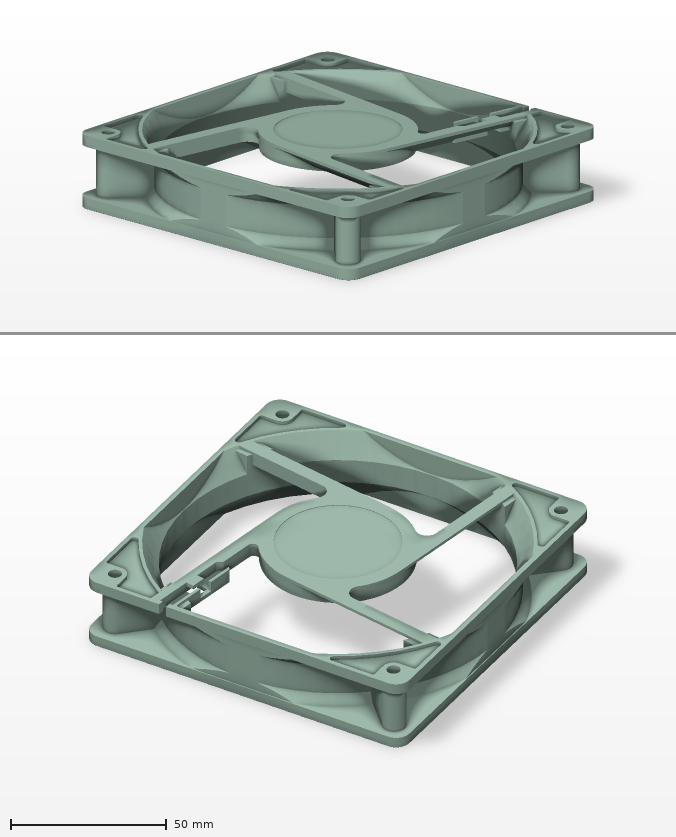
import cadquery as cq
import math

side = 119.3
height = 24.8
corner_radius = 5.0
flange_thickness = 3.8
edge_break = 0.1
flange_underside = height - flange_thickness

bore_radius = 57.6
mouth_radius = 63.0
mouth_depth = 8.1
mouth_half_width = 57.7
duct_radius = 59.5
duct_flare_radius = 62.3
duct_flare_height = 3.2
duct_half_width = 59.3

screw_offset = 52.3
screw_diameter = 4.5
post_radius = 3.9
outset_post = 1
post_outset = 1.0

recess_depth = 1.4
recess_half_width = 58.1
recess_inner_radius = 64.2
recess_tip_radius = 1.3
recess_corner_radius = 0.6

hub_radius = 25.8
hub_depth = 6.2
label_radius = 20.8
label_depth = 0.2
arm_direction = 81.0
arm_width = 4.8
arm_depth = 5.0
rim_thickness = 1.1
hub_wall_radius = 25.4
arm_outer = -hub_radius
arm_inner = arm_outer + arm_width
arm_fillet = 3.8
cable_arm_fillet = 1.8

gusset_width = 1.8
gusset_drop = 1.0

channel_wall_outer = -16.8
channel_wall_thickness = 1.1
channel_wall_inner = channel_wall_outer - channel_wall_thickness
channel_arm_edge = -22.7
channel_depth = 3.6
channel_start = 30.1
arm_step_start = 32.2
clip_start = 43.4
clip_end = 48.8
clip_tip = -19.8
clip_thickness = 1.4
window_edge = -18.5
exit_rib_width = 1.1
exit_rib_length = 1.9

reach = side
quarters = 4
quarter_turn = 90


def slab(outline, z_low, z_high):
    """Prism with a closed polygonal outline."""
    return cq.Workplane("XY").workplane(offset=z_low).polyline(outline).close().extrude(z_high - z_low)


def block(x_range, y_range, z_low, z_high):
    """Axis-aligned box given by its ranges."""
    (x0, x1), (y0, y1) = x_range, y_range
    return slab([(x0, y0), (x1, y0), (x1, y1), (x0, y1)], z_low, z_high)


def disc(radius, z_low, z_high):
    return cq.Workplane("XY").workplane(offset=z_low).circle(radius).extrude(z_high - z_low)


def square(half_width, z_low, z_high):
    span = (-half_width, half_width)
    return block(span, span, z_low, z_high)


def turned(profile):
    """Solid of revolution about Z from (radius, z) points."""
    return cq.Workplane("XZ").polyline(profile).close().revolve(360, (0, 0), (0, 1))


def placed(arm_part, index):
    """Turn a part drawn with its arm along +X to the place of the given arm."""
    return arm_part.rotate((0, 0, 0), (0, 0, 1), arm_direction + quarter_turn * index)


def make_flange(z_low):
    flange = cq.Workplane("XY").workplane(offset=z_low).rect(side, side).extrude(flange_thickness)
    return flange.edges("|Z").fillet(corner_radius)


def make_bottom_flange():
    """Flange with its lowest outer edge broken by a fine chamfer."""
    return make_flange(0).faces("<Z").edges().chamfer(edge_break)


def make_duct_outside():
    duct = turned([
        (0, flange_thickness),
        (duct_flare_radius, flange_thickness),
        (duct_radius, flange_thickness + duct_flare_height),
        (duct_radius, flange_underside - duct_flare_height),
        (duct_flare_radius, flange_underside),
        (0, flange_underside),
    ])
    return duct.intersect(square(duct_half_width, 0, height))


def make_air_passage():
    flared = turned([
        (0, 0),
        (mouth_radius, 0),
        (bore_radius, mouth_depth),
        (bore_radius, height - mouth_depth),
        (mouth_radius, height),
        (0, height),
    ])
    return flared.intersect(square(mouth_half_width, 0, height))


def make_post(index):
    """Corner post with a web of the same width running in to the duct."""
    distance = screw_offset * math.sqrt(2)
    if index == outset_post:
        distance += post_outset
    post = disc(post_radius, flange_thickness, flange_underside).translate((distance, 0, 0))
    web = block((0, distance), (-post_radius, post_radius), flange_thickness, flange_underside)
    return post.union(web).rotate((0, 0, 0), (0, 0, 1), quarter_turn / 2 + quarter_turn * index)


def make_recess(index):
    """Corner recess that passes round the screw boss."""
    floor = height - recess_depth
    recess = block((0, recess_half_width), (0, recess_half_width), floor, height)
    recess = recess.cut(disc(recess_inner_radius, floor, height))
    recess = recess.edges("|Z and (<X or <Y)").fillet(recess_tip_radius)
    boss_start = screw_offset - post_radius
    boss = block((boss_start, side), (boss_start, side), floor, height)
    boss = boss.edges("|Z and <X and <Y").fillet(post_radius)
    recess = recess.cut(boss)
    recess = recess.edges("|Z and (>X or >Y)").fillet(recess_corner_radius)
    return recess.rotate((0, 0, 0), (0, 0, 1), quarter_turn * index)


def make_star(center_radius, z_low, z_high):
    """Disc with four straight arms, filleted where the inner edge of each arm leaves the disc."""
    star = disc(center_radius, z_low, z_high)
    for index in range(quarters):
        star = star.union(placed(block((0, reach), (arm_outer, arm_inner), z_low, z_high), index))
    junction_distance = math.sqrt(center_radius**2 - arm_inner**2)
    for index in range(quarters):
        turn = math.radians(arm_direction + quarter_turn * index)
        corner = (
            junction_distance * math.cos(turn) - arm_inner * math.sin(turn),
            junction_distance * math.sin(turn) + arm_inner * math.cos(turn),
            (z_low + z_high) / 2,
        )
        radius = cable_arm_fillet if index == 0 else arm_fillet
        star = star.edges("|Z").edges(cq.NearestToPointSelector(corner)).fillet(radius)
    return star


def make_arms_and_hub():
    """Thin rim on top; below it each arm slopes from its outer edge down to its inner edge."""
    bottom = height - arm_depth
    rim_bottom = height - rim_thickness
    lower = make_star(hub_wall_radius, bottom, rim_bottom)
    slope = cq.Workplane("YZ").polyline([
        (arm_outer, rim_bottom),
        (arm_outer, bottom),
        (arm_inner, bottom),
    ]).close().extrude(reach)
    for index in range(quarters):
        lower = lower.cut(placed(slope, index))
    hub = disc(hub_wall_radius, height - hub_depth, height)
    return make_star(hub_radius, rim_bottom, height).union(lower).union(hub)


def make_gusset(index):
    inner = channel_wall_outer if index == 0 else arm_inner
    sides = (arm_outer - gusset_width, inner + gusset_width)
    gusset = block((0, reach), sides, height - mouth_depth, height - gusset_drop)
    return placed(gusset, index).cut(disc(bore_radius, 0, height))


def make_channel_body():
    wall_start = channel_start + channel_wall_outer - arm_inner
    outline = [
        (channel_start, channel_arm_edge),
        (reach, channel_arm_edge),
        (reach, channel_wall_outer),
        (wall_start, channel_wall_outer),
        (channel_start, arm_inner),
    ]
    return placed(slab(outline, height - arm_depth, height), 0)


def make_channel_cut():
    """Cable space: trough, gap in its wall, floor window and ribbed exit through the flange."""
    floor = height - channel_depth
    trough = slab([
        (channel_start, arm_inner),
        (arm_step_start, arm_inner),
        (arm_step_start + arm_inner - channel_arm_edge, channel_arm_edge),
        (reach, channel_arm_edge),
        (reach, channel_wall_inner),
        (channel_start + channel_wall_inner - arm_inner, channel_wall_inner),
    ], floor, height)
    clip_span = (clip_start, clip_end)
    wall_gap = block(clip_span, (channel_wall_inner, channel_wall_outer), floor, height)
    window = block(clip_span, (channel_arm_edge, window_edge), height - arm_depth, floor)
    tooth = block(clip_span, (channel_arm_edge, clip_tip), height - clip_thickness, height)
    flange_exit = block((0, reach), (channel_arm_edge, channel_wall_inner), flange_underside, height)
    flange_exit = flange_exit.cut(disc(duct_flare_radius, 0, height))
    space = placed(trough.union(wall_gap).union(window).union(flange_exit).cut(tooth), 0)

    ribs = block((0, reach), (channel_arm_edge, channel_wall_inner), flange_underside, height)
    gap = (channel_arm_edge + exit_rib_width, channel_wall_inner - exit_rib_width)
    ribs = placed(ribs.cut(block((0, reach), gap, flange_underside, height)), 0)
    edge_band = block((0, side / 2), (side / 2 - exit_rib_length, side / 2), 0, height)
    return space.cut(ribs.intersect(edge_band))


spider = make_arms_and_hub()
for arm in range(quarters):
    spider = spider.union(make_gusset(arm))
spider = spider.union(make_channel_body())

body = make_bottom_flange().union(make_duct_outside()).union(make_flange(flange_underside))
for corner_index in range(quarters):
    body = body.union(make_post(corner_index))

body = body.cut(make_air_passage().cut(spider))
body = body.cut(make_channel_cut())
cable_arm_strip = placed(block((0, reach), (arm_outer, channel_wall_outer), 0, height), 0)
for corner_index in range(quarters):
    body = body.cut(make_recess(corner_index).cut(cable_arm_strip))
screw_holes = cq.Workplane("XY").rect(2 * screw_offset, 2 * screw_offset, forConstruction=True).vertices()
body = body.cut(screw_holes.circle(screw_diameter / 2).extrude(height))
body = body.cut(disc(label_radius, height - label_depth, height))

result = body